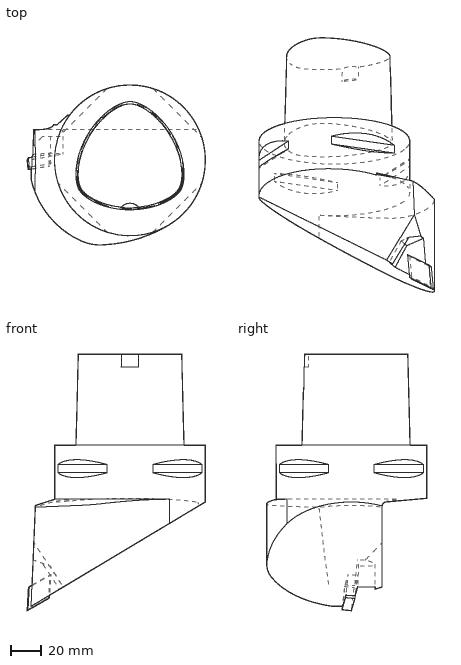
import cadquery as cq
import math


SHANK_HEIGHT = 60.2
SHANK_BASE_RADIUS = 35.9
SHANK_TAPER = 1 / 20
SHANK_TOP_RADIUS = SHANK_BASE_RADIUS - SHANK_HEIGHT * SHANK_TAPER / 2
LOBE_ECCENTRICITY = 3.0
OUTLINE_POINTS = 48
NOTCH_RADIUS = 7.3
NOTCH_Y = -35.7
NOTCH_DEPTH = 8.7

FLANGE_RADIUS = 100.0 / 2
FLANGE_HEIGHT = 35.9
GROOVE_Z = -15.6
GROOVE_FLOOR_DISTANCE = 44.4
GROOVE_FLOOR_WIDTH = 5.5
GROOVE_FLANK_ANGLE = 30
GROOVE_TURNS = (45, 135, 225, 315)

BOTTOM_Z = -109.8
SHOULDER_RADIUS = 74.8
SHOULDER_ANGLE = 18
REAR_Y = 20.4
REAR_FILLET = 2.5
SIDE_TOP_X = -62.5
SIDE_ANGLE = 2.4
SLANT_EDGE_Z = -37.7
SLANT_ANGLE = 30.9
UNDERSIDE_OUTER_Z = -35.4
UNDERSIDE_ANGLE = 5.2

BULGE_REAR_TANGENT = (-41.1, 30.1)
BULGE_REAR_CORNER = (-48.3, 23.6)
BULGE_SIDE_X = -66.6
BULGE_SIDE_END_Y = -6.0
BULGE_SIDE_ARC = ((-53.9, -36.7), (-32.1, -53.5))
BULGE_NOSE_ARC = ((-24.6, -55.8), (-16.0, -56.0))
BULGE_FRONT_ARC = ((6.0, -51.8), (26.2, -42.7))

INSERT_TIP = (-68.2, BOTTOM_Z)
INSERT_UPPER_CORNER = (-67.2, -94.4)
INSERT_INNER_CORNER = (-53.7, -101.7)
INSERT_THICKNESS = 6.3
INSERT_LEAN = 6
INSERT_SWING = 6

POCKET_TOP_Z = -76.2
POCKET_MOUTH_X = -64.1
RECESS_TOP_Z = -80.2
RECESS_TOP_X = -52.7
RECESS_BOTTOM_X = -44.2
RECESS_BOTTOM_Z = -94.4
RECESS_REAR_Y = 15.6
RAMP_POINT = (-63.8, REAR_Y, -64.6)
RAMP_RISE_PER_Y = 1.1
RAMP_DROP_PER_X = 1.5

FAR = 170


def slope(angle):
    return math.tan(math.radians(angle))


def trilobe_wire(radius, z):
    """Constant-width outline with one lobe pointing along +Y."""
    points = []
    for i in range(OUTLINE_POINTS):
        turn = 2 * math.pi * i / OUTLINE_POINTS
        along = radius * math.cos(turn) + LOBE_ECCENTRICITY * (2 * math.cos(2 * turn) - math.cos(4 * turn))
        across = radius * math.sin(turn) - LOBE_ECCENTRICITY * (2 * math.sin(2 * turn) + math.sin(4 * turn))
        points.append(cq.Vector(-across, along, z))
    return cq.Wire.assembleEdges([cq.Edge.makeSpline(points, periodic=True)])


def make_shank():
    base = trilobe_wire(SHANK_BASE_RADIUS, 0)
    top = trilobe_wire(SHANK_TOP_RADIUS, SHANK_HEIGHT)
    shank = cq.Workplane(cq.Solid.makeLoft([base, top]))
    notch = (
        cq.Workplane("XY", origin=(0, NOTCH_Y, SHANK_HEIGHT))
        .circle(NOTCH_RADIUS)
        .extrude(-NOTCH_DEPTH)
    )
    return shank.cut(notch)


def make_groove_cutter(turn):
    half_floor = GROOVE_FLOOR_WIDTH / 2
    reach = FLANGE_RADIUS - GROOVE_FLOOR_DISTANCE
    half_mouth = half_floor + reach * slope(GROOVE_FLANK_ANGLE)
    return (
        cq.Workplane("XZ")
        .polyline([
            (GROOVE_FLOOR_DISTANCE, GROOVE_Z - half_floor),
            (FLANGE_RADIUS, GROOVE_Z - half_mouth),
            (FLANGE_RADIUS, GROOVE_Z + half_mouth),
            (GROOVE_FLOOR_DISTANCE, GROOVE_Z + half_floor),
        ])
        .close()
        .extrude(FLANGE_RADIUS, both=True)
        .rotate((0, 0, 0), (0, 0, 1), turn)
    )


def make_shoulder_envelope():
    """Everything below the conical shoulder that falls away from the flange edge."""
    shoulder_z = -FLANGE_HEIGHT - (SHOULDER_RADIUS - FLANGE_RADIUS) * slope(SHOULDER_ANGLE)
    return (
        cq.Workplane("XZ")
        .polyline([
            (0, -FLANGE_HEIGHT),
            (FLANGE_RADIUS, -FLANGE_HEIGHT),
            (SHOULDER_RADIUS, shoulder_z),
            (SHOULDER_RADIUS, BOTTOM_Z),
            (0, BOTTOM_Z),
        ])
        .close()
        .revolve(360, (0, 0, 0), (0, 1, 0))
    )


def make_head_blank():
    column = cq.Workplane("XY").workplane(offset=BOTTOM_Z).circle(FLANGE_RADIUS).extrude(-BOTTOM_Z)
    bulge = (
        cq.Workplane("XY")
        .workplane(offset=BOTTOM_Z)
        .moveTo(*BULGE_REAR_TANGENT)
        .lineTo(*BULGE_REAR_CORNER)
        .lineTo(BULGE_SIDE_X, BULGE_REAR_CORNER[1])
        .lineTo(BULGE_SIDE_X, BULGE_SIDE_END_Y)
        .threePointArc(*BULGE_SIDE_ARC)
        .threePointArc(*BULGE_NOSE_ARC)
        .threePointArc(*BULGE_FRONT_ARC)
        .lineTo(0, 0)
        .close()
        .extrude(-BOTTOM_Z)
        .intersect(make_shoulder_envelope())
    )
    return column.union(bulge)


def make_side_cutter():
    """Trims the -X side to a flat that leans out towards the bottom."""
    bottom_x = SIDE_TOP_X - (-BOTTOM_Z - FLANGE_HEIGHT) * slope(SIDE_ANGLE)
    return (
        cq.Workplane("XZ")
        .polyline([
            (SIDE_TOP_X, -FLANGE_HEIGHT),
            (bottom_x, BOTTOM_Z),
            (-FAR, BOTTOM_Z),
            (-FAR, -FLANGE_HEIGHT),
        ])
        .close()
        .extrude(FAR, both=True)
    )


def make_slant_cutter():
    """Removes everything below the slanted underside of the head."""
    return (
        cq.Workplane("XZ")
        .polyline([
            (FAR, SLANT_EDGE_Z + (FAR - FLANGE_RADIUS) * slope(SLANT_ANGLE)),
            (-FAR, SLANT_EDGE_Z - (FAR + FLANGE_RADIUS) * slope(SLANT_ANGLE)),
            (FAR, -FAR),
        ])
        .close()
        .extrude(FAR, both=True)
    )


def make_rear_cutter():
    """Removes the head behind its rear wall, leaving a fillet under the flange."""
    corner_z = UNDERSIDE_OUTER_Z - (FLANGE_RADIUS - REAR_Y) * slope(UNDERSIDE_ANGLE)
    outer_z = corner_z + (FAR - REAR_Y) * slope(UNDERSIDE_ANGLE)
    return (
        cq.Workplane("YZ")
        .polyline([(REAR_Y, -FAR), (REAR_Y, corner_z), (FAR, outer_z), (FAR, -FAR)])
        .close()
        .extrude(FAR, both=True)
        .edges(cq.selectors.NearestToPointSelector((0, REAR_Y, corner_z)))
        .fillet(REAR_FILLET)
    )


def make_pocket_cutter():
    """Chip pocket: an oblique ramp with a deeper recess, against the leaning insert face."""
    in_front = (
        cq.Workplane("XY")
        .box(2 * FAR, FAR, 2 * FAR, centered=(True, False, True))
        .translate((0, 0, BOTTOM_Z))
    )
    in_front = tilt_with_insert(in_front)
    ramp_plane = cq.Plane(
        origin=RAMP_POINT,
        xDir=(1, 0, -RAMP_DROP_PER_X),
        normal=(RAMP_DROP_PER_X, -RAMP_RISE_PER_Y, 1),
    )
    ramp = cq.Workplane(ramp_plane).rect(2 * FAR, 2 * FAR).extrude(-FAR)
    floor_run_per_z = (RECESS_BOTTOM_X - RECESS_TOP_X) / (RECESS_TOP_Z - RECESS_BOTTOM_Z)
    recess = (
        cq.Workplane("XZ", origin=(0, RECESS_REAR_Y, 0))
        .polyline([
            (RECESS_TOP_X, RECESS_TOP_Z),
            (RECESS_TOP_X + FAR * floor_run_per_z, RECESS_TOP_Z - FAR),
            (-FAR, RECESS_TOP_Z - FAR),
            (-FAR, POCKET_TOP_Z),
            (POCKET_MOUTH_X, POCKET_TOP_Z),
        ])
        .close()
        .extrude(FAR)
    )
    return ramp.union(recess).intersect(in_front)


def tilt_with_insert(body):
    """Lean the body towards +Y at its top, then swing it about the vertical through the tip."""
    tip_x, tip_z = INSERT_TIP
    leaning = body.rotate((0, 0, tip_z), (1, 0, tip_z), -INSERT_LEAN)
    return leaning.rotate((tip_x, 0, 0), (tip_x, 0, 1), INSERT_SWING)


def make_insert():
    tip_x, tip_z = INSERT_TIP
    far_corner = (
        INSERT_UPPER_CORNER[0] + INSERT_INNER_CORNER[0] - tip_x,
        INSERT_UPPER_CORNER[1] + INSERT_INNER_CORNER[1] - tip_z,
    )
    plate = (
        cq.Workplane("XZ")
        .polyline([INSERT_TIP, INSERT_INNER_CORNER, far_corner, INSERT_UPPER_CORNER])
        .close()
        .extrude(INSERT_THICKNESS)
    )
    return tilt_with_insert(plate)


def make_holder(seated_insert):
    holder = make_head_blank()
    holder = holder.cut(make_side_cutter())
    holder = holder.cut(make_slant_cutter())
    holder = holder.cut(make_rear_cutter())
    holder = holder.cut(make_pocket_cutter())
    for turn in GROOVE_TURNS:
        holder = holder.cut(make_groove_cutter(turn))
    holder = holder.union(make_shank())
    return holder.cut(seated_insert)


insert = make_insert()
holder = make_holder(insert)

result = cq.Compound.makeCompound([*holder.solids().vals(), insert.val()])